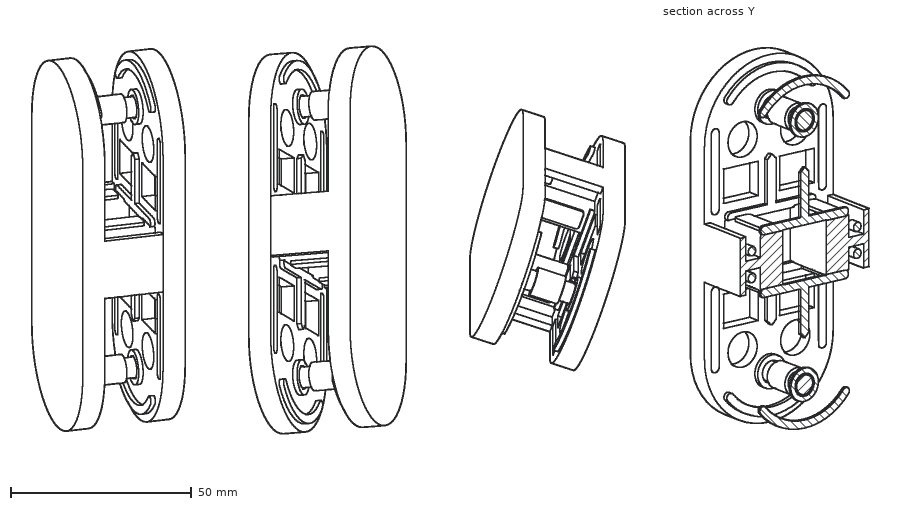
import cadquery as cq
import math

width = 45.0
height = 107.0
depth = 30.0
inner_gap = 17.0
end_radius = width / 2
end_center_z = height / 2 - end_radius
inner_face = inner_gap / 2
plate_thickness = (depth - inner_gap) / 2

rib_height = 1.3
recess_depth = 3.8

arc_rib_radius = 18.95
arc_rib_width = 2.5
arc_rib_half_angle = 49.7

bar_half_length = 15.4
bar_width = 2.5
bar_z = 9.2

post_width = 3.0
post_top_z = 24.8
post_chamfer = 1.3

boss_radius = 4.9
bore_radius = 3.25

slot_x = 18.75
slot_width = 2.7
slot_bottom_z = 10.5
slot_length = 25.0

round_recess_x = 9.2
round_recess_z = 30.6
round_recess_radius = 5.1

square_recess_outer_x = 15.8
square_recess_inner_x = 3.8
square_recess_bottom_z = 13.2
square_recess_top_z = 23.2

bridge_half_height = 8.5
side_wall_thickness = 2.0
block_outer_x = 15.5
block_inner_x = 7.5
block_fillet = 1.0
web_half_thickness = 1.5
web_end_gap = 0.35

peg_x = 18.4
peg_radius = 1.4
peg_length = 3.3
peg_web_clearance = 1.0
peg_z = web_half_thickness + peg_web_clearance + peg_radius

pin_z = 38.5
pin_radius = 2.9
pin_half_length = inner_face + recess_depth
roller_radius = 4.0
roller_length = 8.1
pad_width = 5.4
pad_length = 12.0
pad_thickness = 1.0
pad_corner = 1.0

sides = (-1, 1)


def box(x_range, y_range, z_range):
    sizes = [high - low for low, high in (x_range, y_range, z_range)]
    corner = (x_range[0], y_range[0], z_range[0])
    return cq.Workplane("XY").box(*sizes, centered=False).translate(corner)


def section_at(y):
    """Workplane with local axes X and Z whose extrusions go towards +Y."""
    return cq.Workplane(cq.Plane((0, y, 0), (1, 0, 0), (0, -1, 0)))


def extrude_y(sketch, length):
    """Extrude a sketch from section_at() towards +Y."""
    return sketch.extrude(-length)


def cylinder_y(x, z, radius, y_start, length):
    return extrude_y(section_at(y_start).center(x, z).circle(radius), length)


def arc_rib():
    """Raised arc with round ends, concentric with the upper plate end."""
    half_angle = math.radians(arc_rib_half_angle)
    outer = arc_rib_radius + arc_rib_width / 2
    inner = arc_rib_radius - arc_rib_width / 2

    def arc_point(radius, angle):
        return (radius * math.sin(angle), end_center_z + radius * math.cos(angle))

    outline = (
        section_at(inner_face - rib_height)
        .moveTo(*arc_point(outer, -half_angle))
        .threePointArc(arc_point(outer, 0), arc_point(outer, half_angle))
        .lineTo(*arc_point(inner, half_angle))
        .threePointArc(arc_point(inner, 0), arc_point(inner, -half_angle))
        .close()
    )
    rib = extrude_y(outline, rib_height)
    for angle in (-half_angle, half_angle):
        x, z = arc_point(arc_rib_radius, angle)
        rib = rib.union(cylinder_y(x, z, arc_rib_width / 2, inner_face - rib_height, rib_height))
    return rib


def bar_and_post():
    """Round-ended bar along the bridge with a post standing on its middle."""
    start = inner_face - rib_height
    bar = extrude_y(section_at(start).center(0, bar_z).slot2D(2 * bar_half_length, bar_width), rib_height)
    post = box((-post_width / 2, post_width / 2), (start, inner_face), (bar_z, post_top_z))
    post = post.edges("|Y and >Z").chamfer(post_chamfer)
    return bar.union(post)


def upper_recesses():
    """Slots, round recesses and square recesses of the upper half."""
    slot_z = slot_bottom_z + slot_length / 2
    slots = section_at(inner_face).pushPoints([(side * slot_x, slot_z) for side in sides])
    cutters = extrude_y(slots.slot2D(slot_length, slot_width, 90), recess_depth)
    y_range = (inner_face, inner_face + recess_depth)
    z_range = (square_recess_bottom_z, square_recess_top_z)
    for side in sides:
        cutters = cutters.union(
            cylinder_y(side * round_recess_x, round_recess_z, round_recess_radius, inner_face, recess_depth)
        )
        x_range = sorted((side * square_recess_inner_x, side * square_recess_outer_x))
        cutters = cutters.union(box(x_range, y_range, z_range))
    return cutters


def make_plate():
    """Rear plate with ribs, bosses and recesses on its inner face."""
    plate = extrude_y(section_at(inner_face).slot2D(height, width, 90), plate_thickness)
    rib_start = inner_face - rib_height
    boss = cylinder_y(0, pin_z, boss_radius, rib_start, rib_height)
    ribs = arc_rib().union(bar_and_post()).union(boss)
    bore = cylinder_y(0, pin_z, bore_radius, rib_start, rib_height + recess_depth)
    cutters = upper_recesses().union(bore)
    plate = plate.union(ribs).union(ribs.mirror("XY"))
    return plate.cut(cutters).cut(cutters.mirror("XY"))


def make_cover():
    """Rear plate with the pegs that reach into the bridge pockets."""
    cover = make_plate()
    for side in sides:
        for end in sides:
            cover = cover.union(
                cylinder_y(side * peg_x, end * peg_z, peg_radius, inner_face - peg_length, peg_length)
            )
    return cover


def right_bridge():
    """Outer wall and filleted block, joined by a thin web between two pockets."""
    gap = (-inner_face, inner_face)
    full = (-bridge_half_height, bridge_half_height)
    wall_inner_x = end_radius - side_wall_thickness
    wall = box((wall_inner_x, end_radius), gap, full)
    block = box((block_inner_x, block_outer_x), gap, full).edges("|Y").fillet(block_fillet)
    web = box(
        (block_outer_x, wall_inner_x),
        (-inner_face, inner_face - web_end_gap),
        (-web_half_thickness, web_half_thickness),
    )
    return wall.union(block).union(web)


def make_housing(cover):
    """Front plate with both bridges, notched where the cover's bars enter them."""
    bridge = right_bridge()
    housing = make_plate().mirror("XZ").union(bridge).union(bridge.mirror("YZ"))
    return housing.cut(cover)


def make_pin(end):
    return cylinder_y(0, end * pin_z, pin_radius, -pin_half_length, 2 * pin_half_length)


def make_roller(end):
    start = -roller_length / 2
    ring = section_at(start).center(0, end * pin_z).circle(roller_radius).circle(pin_radius)
    return extrude_y(ring, roller_length)


def make_pad(side, end):
    """Pad with rounded corners lying on the outer face of a bridge block."""
    pad = cq.Workplane("XY").box(pad_width, pad_length, pad_thickness).edges("|Z").fillet(pad_corner)
    pad_x = (block_outer_x + block_inner_x) / 2
    pad_z = bridge_half_height + pad_thickness / 2
    return pad.translate((side * pad_x, 0, end * pad_z))


cover = make_cover()
housing = make_housing(cover)
pins = [make_pin(end).val() for end in sides]
rollers = [make_roller(end).val() for end in sides]
pads = [make_pad(side, end).val() for side in sides for end in sides]

result = cq.Compound.makeCompound([housing.val(), cover.val(), *pins, *rollers, *pads])